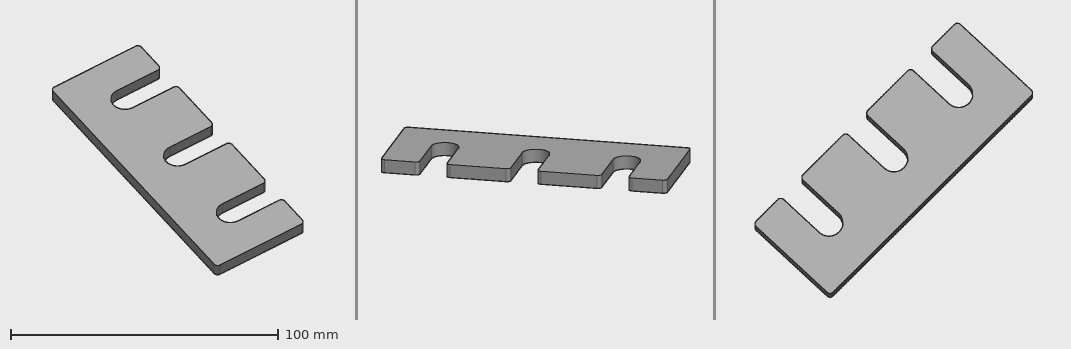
import cadquery as cq

length = 110.0
width = 40.0
thickness = 5.2
corner_radius = 1.5

slot_count = 3
slot_pitch = 35.0
slot_width = 10.5
slot_depth = 25.3


def make_slot(center_x):
    """Slot cutter running from the round bottom out past the +Y edge."""
    slot_radius = slot_width / 2
    arc_center_y = width / 2 - slot_depth + slot_radius
    straight_length = slot_depth - slot_radius
    round_bottom = (
        cq.Workplane("XY")
        .center(center_x, arc_center_y)
        .circle(slot_radius)
        .extrude(thickness)
    )
    straight_part = (
        cq.Workplane("XY")
        .center(center_x, arc_center_y + straight_length / 2)
        .rect(slot_width, straight_length)
        .extrude(thickness)
    )
    return straight_part.union(round_bottom)


plate = cq.Workplane("XY").box(length, width, thickness, centered=(True, True, False))

for index in range(slot_count):
    slot_x = (index - (slot_count - 1) / 2) * slot_pitch
    plate = plate.cut(make_slot(slot_x))

front_corners = plate.faces("<Y").edges("|Z")
back_corners = plate.faces(">Y").edges("|Z")
result = plate.newObject(front_corners.vals() + back_corners.vals()).fillet(corner_radius)